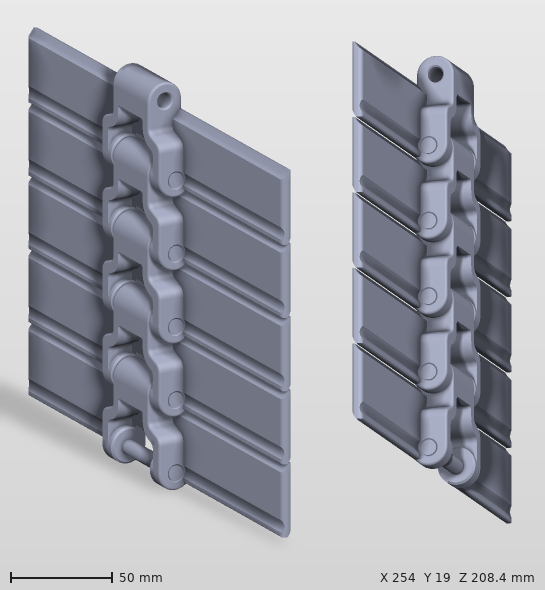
import cadquery as cq
import math

link_count = 5
pitch = 38.0
half_depth = 9.52
hinge_gap = 0.5

eye_half_width = 17.8
leg_half_width = 28.7
leg_inner = eye_half_width + hinge_gap
end_radius = half_depth
leg_center_z = 0.64
shoulder_top = 22.9
shoulder_bottom = 18.8
shoulder_fillet = 3.3
leg_corner_fillet = 5.0
frame_fillet = 1.3

pocket_half_top = 12.2
pocket_half_bottom = 22.4
pocket_top = 28.7
pocket_shoulder_top = 18.3
pocket_shoulder_bottom = 14.2
pocket_corner_fillet = 1.5
pocket_neck_fillet = 9.1
pocket_leg_fillet = 3.0

boss_chamfer = 1.0
boss_overlap = 1.3

pin_radius = 3.94
hole_chamfer = 0.8
clearance_radius = 10.7

plate_length = 254.0
plate_thickness = 5.3
plate_front = half_depth - plate_thickness
plate_top = 32.5
plate_bottom = -5.5
plate_lip_chamfer = 0.5
plate_front_fillet = 2.3
plate_back_fillet = 1.5
scoop_ledge = 1.5
scoop_drop = 4.3
scoop_radius = 10.2
groove_top = 3.3
groove_bottom = -3.0
groove_depth = 1.3


def x_cylinder(radius, x_start, x_end, z):
    """Cylinder along X, centred on the hinge plane y = 0."""
    section = cq.Workplane("YZ", origin=(x_start, 0, 0)).center(0, z).circle(radius)
    return section.extrude(x_end - x_start)


def mirrored_outline(right_side):
    """Closed XZ outline from its right-hand points, mirrored about x = 0."""
    left_side = [(-x, z) for x, z in reversed(right_side)]
    return cq.Workplane("XZ").polyline(right_side + left_side).close()


def corner(x, z):
    """Selector of the two Y-parallel edges at x and -x, height z."""
    reach = 0.3
    along_y = cq.selectors.ParallelDirSelector(cq.Vector(0, 1, 0))
    right, left = [
        cq.selectors.BoxSelector(
            (center_x - reach, -2 * half_depth, z - reach),
            (center_x + reach, 2 * half_depth, z + reach),
        )
        for center_x in (x, -x)
    ]
    return along_y & (right + left)


def frame_blank():
    """Frame with round ends and rounded rims, before pocket and hinge gap are cut."""
    outline_points = [
        (eye_half_width, pitch + end_radius),
        (eye_half_width, shoulder_top),
        (leg_half_width, shoulder_bottom),
        (leg_half_width, leg_center_z - end_radius),
    ]
    outline = mirrored_outline(outline_points).extrude(half_depth, both=True)
    outline = outline.edges(corner(eye_half_width, shoulder_top)).fillet(shoulder_fillet)
    outline = outline.edges(corner(leg_half_width, shoulder_bottom)).fillet(leg_corner_fillet)
    side_profile = (
        cq.Workplane("YZ")
        .moveTo(-half_depth, leg_center_z)
        .threePointArc((0, leg_center_z - end_radius), (half_depth, leg_center_z))
        .lineTo(half_depth, pitch)
        .threePointArc((0, pitch + end_radius), (-half_depth, pitch))
        .close()
        .extrude(leg_half_width, both=True)
    )
    return outline.intersect(side_profile).edges("not(|X or |Y)").fillet(frame_fillet)


def pocket():
    """Cutter for the front of the frame, down to the front of the plate and open below."""
    outline_points = [
        (pocket_half_top, pocket_top),
        (pocket_half_top, pocket_shoulder_top),
        (pocket_half_bottom, pocket_shoulder_bottom),
        (pocket_half_bottom, leg_center_z - 2 * end_radius),
    ]
    cutter = mirrored_outline(outline_points).extrude(half_depth + plate_front)
    cutter = cutter.translate((0, plate_front, 0))
    cutter = cutter.edges(corner(pocket_half_top, pocket_top)).fillet(pocket_corner_fillet)
    cutter = cutter.edges(corner(pocket_half_top, pocket_shoulder_top)).fillet(pocket_neck_fillet)
    return cutter.edges(corner(pocket_half_bottom, pocket_shoulder_bottom)).fillet(pocket_leg_fillet)


def boss():
    """Right-hand boss: a disc on the inner side of the leg, chamfered toward the hinge gap."""
    disc = x_cylinder(end_radius, leg_inner, pocket_half_bottom + boss_overlap, leg_center_z)
    return disc.faces("<X").chamfer(boss_chamfer)


def plate():
    """Flat top plate: round heel below, scooped upper edge, grooved front, rounded ends."""
    heel_drop = leg_center_z - plate_bottom
    heel_y = math.sqrt(end_radius**2 - heel_drop**2)
    body = (
        cq.Workplane("YZ")
        .moveTo(half_depth, plate_top)
        .lineTo(half_depth, leg_center_z)
        .radiusArc((heel_y, plate_bottom), end_radius)
        .lineTo(plate_front + plate_lip_chamfer, plate_bottom)
        .lineTo(plate_front, plate_bottom + plate_lip_chamfer)
        .lineTo(plate_front, plate_top - scoop_drop)
        .radiusArc((half_depth - scoop_ledge, plate_top), -scoop_radius)
        .close()
        .extrude(plate_length / 2, both=True)
    )
    rounded_ends = (
        cq.Workplane("XY", origin=(0, half_depth - plate_thickness / 2, plate_bottom))
        .rect(plate_length, plate_thickness)
        .extrude(plate_top - plate_bottom)
        .edges("|Z and <Y")
        .fillet(plate_front_fillet)
        .edges("|Z and >Y")
        .fillet(plate_back_fillet)
    )
    groove_middle = (plate_front + groove_depth, (groove_top + groove_bottom) / 2)
    groove = (
        cq.Workplane("YZ")
        .moveTo(plate_front, groove_bottom)
        .threePointArc(groove_middle, (plate_front, groove_top))
        .close()
        .extrude(plate_length / 2, both=True)
    )
    return body.intersect(rounded_ends).cut(groove)


def bore(half_length, z):
    """Cutter for a bore along X with a countersink at each end."""
    mouth_radius = pin_radius + hole_chamfer
    half_profile = [
        (-half_length, 0),
        (-half_length, mouth_radius),
        (hole_chamfer - half_length, pin_radius),
        (half_length - hole_chamfer, pin_radius),
        (half_length, mouth_radius),
        (half_length, 0),
    ]
    axis_end = (1, 0, 0)
    cutter = cq.Workplane("XY").polyline(half_profile).close().revolve(360, (0, 0, 0), axis_end)
    return cutter.translate((0, 0, z))


def link():
    right_boss = boss()
    left_boss = right_boss.mirror("YZ")
    hinge_clearance = x_cylinder(clearance_radius, -leg_inner, leg_inner, leg_center_z)
    wings = plate().cut(frame_blank()).cut(pocket())
    body = frame_blank().cut(pocket()).union(wings)
    body = body.union(right_boss).union(left_boss).cut(hinge_clearance)
    return body.cut(bore(eye_half_width, pitch)).cut(bore(leg_half_width, 0))


def pin():
    return x_cylinder(pin_radius, -leg_half_width, leg_half_width, 0)


one_link = link()
one_pin = pin()
places = [(0, 0, index * pitch) for index in range(link_count)]
links = [one_link.translate(place).val() for place in places]
pins = [one_pin.translate(place).val() for place in places]

result = cq.Compound.makeCompound([*links, *pins])